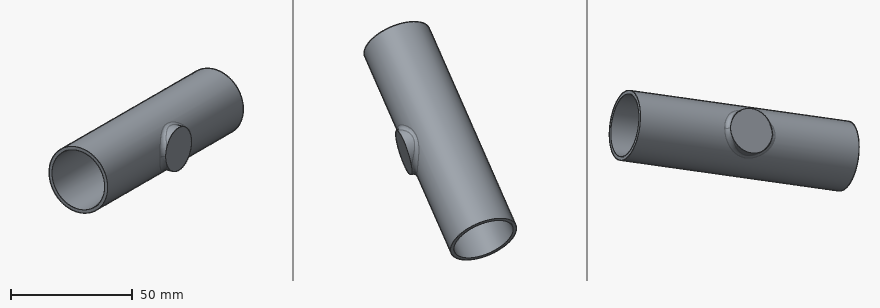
import cadquery as cq

tube_length = 100
tube_diameter = 29
bore_diameter = 26

boss_diameter = 19
boss_height = 1.5
blend_radius = 2

tube_radius = tube_diameter / 2
boss_face_x = tube_radius + boss_height
untrimmed_boss_length = boss_face_x + 3 * blend_radius


def tube_cylinder(diameter):
    """Full-length cylinder along Y."""
    return cq.Workplane("XZ").circle(diameter / 2).extrude(tube_length / 2, both=True)


def tube_with_boss():
    """Solid tube body with the filleted boss, trimmed flat at its outer face."""
    boss = cq.Workplane("YZ").circle(boss_diameter / 2).extrude(untrimmed_boss_length)
    body = tube_cylinder(tube_diameter).union(boss)

    foot_selector = cq.selectors.BoxSelector(
        (0, -boss_diameter, -boss_diameter),
        (tube_radius, boss_diameter, boss_diameter),
    )
    body = body.edges(foot_selector).fillet(blend_radius)

    trim = cq.Workplane("YZ", origin=(boss_face_x, 0, 0)).rect(tube_length, tube_length)
    return body.cut(trim.extrude(untrimmed_boss_length))


result = tube_with_boss().cut(tube_cylinder(bore_diameter))